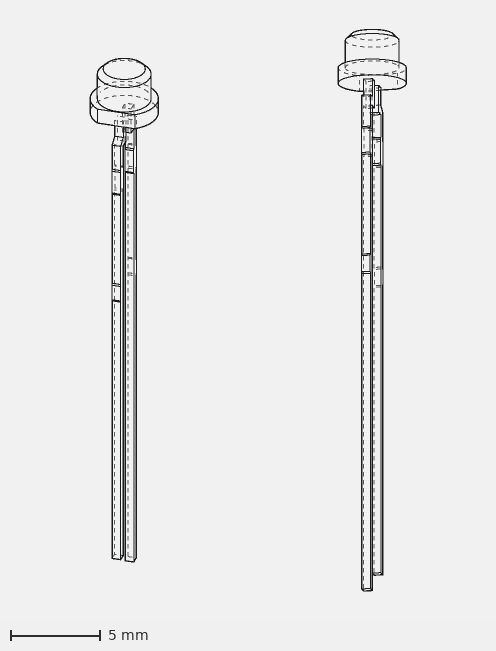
import cadquery as cq

flange_radius = 1.9
flange_thickness = 0.9
flat_distance = 1.56

lens_radius = 1.5
lens_top = 2.8
lens_chamfer = 0.33

lead_width = 0.5
lead_thickness = 0.5
lead_outer = 1.51
lead_inner = lead_outer - lead_thickness
stub_inner = 0.48
elbow_bottom = -1.55
elbow_top = -1.0
overall_height = 32.2
lead_length_difference = 1.55
long_lead_end = lens_top - overall_height
short_lead_end = long_lead_end + lead_length_difference
long_elbow_drop = 0.05
short_elbow_drop = 0.3

band_height = flat_distance - lead_outer
band_ramp = 0.1
upper_band = (-4.45, -2.85)
lower_band = (-11.3, -10.17)


def make_body():
    """Flanged lens with one flat on the flange and a chamfered top rim."""
    flange = cq.Workplane("XY").circle(flange_radius).extrude(flange_thickness)
    beyond_flat = (
        cq.Workplane("XY")
        .center(0, -flat_distance - flange_radius / 2)
        .rect(2 * flange_radius, flange_radius)
        .extrude(flange_thickness)
    )
    lens = (
        cq.Workplane("XY")
        .circle(lens_radius)
        .extrude(lens_top)
        .faces(">Z")
        .chamfer(lens_chamfer)
    )
    return flange.cut(beyond_flat).union(lens)


def extrude_profile(points):
    """Closed Y-Z outline made into a strip centred on X = 0."""
    return cq.Workplane("YZ").polyline(points).close().extrude(lead_width / 2, both=True)


def make_band(side, face, outward, band):
    """Band with sloped ends on one lead face; outward is +1 away from the axis, -1 toward it."""
    bottom, top = band
    middle = (lead_inner + lead_outer) / 2
    crest = face + outward * band_height
    return extrude_profile([
        (side * middle, bottom),
        (side * face, bottom),
        (side * crest, bottom + band_ramp),
        (side * crest, top - band_ramp),
        (side * face, top),
        (side * middle, top),
    ])


def make_lead(side, end, elbow_drop):
    """Cranked lead with its bands; side is +1 or -1 along Y."""
    lead = extrude_profile([
        (side * stub_inner, 0),
        (side * lead_inner, 0),
        (side * lead_inner, elbow_top),
        (side * lead_outer, elbow_top - elbow_drop),
        (side * lead_outer, end),
        (side * lead_inner, end),
        (side * lead_inner, elbow_bottom),
        (side * stub_inner, elbow_bottom),
    ])
    lead = lead.union(make_band(side, lead_outer, 1, upper_band))
    lead = lead.union(make_band(side, lead_inner, -1, upper_band))
    return lead.union(make_band(side, lead_outer, 1, lower_band))


long_lead = make_lead(1, long_lead_end, long_elbow_drop)
short_lead = make_lead(-1, short_lead_end, short_elbow_drop)
result = make_body().union(long_lead).union(short_lead)